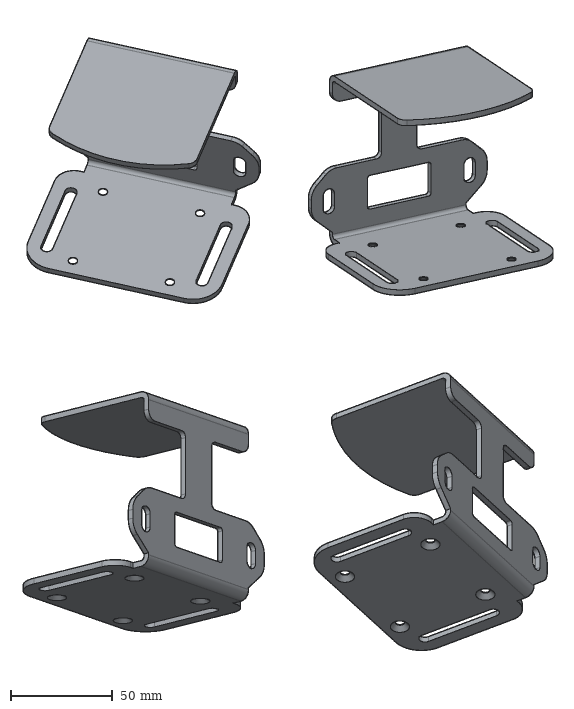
import cadquery as cq
import math

thickness = 3.0
bend_outer = 5.0
bend_inner = bend_outer - thickness
total_width = 100.0
total_height = 90.0
bend_width = 76.0

base_depth = 79.0
base_back = 10.0
base_back_radius = 10.0
base_front_radius = 15.0
slot_spacing = 80.0
base_slot_length = 46.0
base_slot_width = 6.0
base_pattern_y = -45.2
hole_spacing = 50.0
hole_diameter = 4.5
hole_land = 0.5
sink_angle = 90.0

lid_depth = 79.6
lid_side_depth = 70.0
lid_corner_radius = 5.0

stem_width = 20.0
stem_fillet = 3.0
tab_bottom = 75.0
tab_radius = 5.0
ears_top = 40.0
ears_top_width = 78.0
ears_bottom = 6.0
ear_edge_top = 30.0
ear_edge_bottom = 16.5
ear_radius = 10.0
ear_top_radius = 9.0
window_width = 36.0
window_height = 18.0
window_radius = 1.5
window_center = 23.0
wall_slot_length = 13.2
wall_slot_width = 6.4

half_total = total_width / 2
half_bend = bend_width / 2
half_stem = stem_width / 2
half_ears_top = ears_top_width / 2


def fillet_edges(body, axis, places, radius):
    """Round the edges parallel to an axis whose middles lie at (+-x, y, z)."""
    reach = thickness / 4
    for x, y, z in places:
        for side in (-x, x):
            around = cq.selectors.BoxSelector(
                (side - reach, y - reach, z - reach),
                (side + reach, y + reach, z + reach),
            )
            body = body.edges(f"|{axis}").edges(around).fillet(radius)
    return body


def make_bend():
    """Lower bend: a quarter ring from the base up to the wall."""
    middle = math.sqrt(0.5)
    axis_y = -bend_outer
    axis_z = bend_outer
    return (
        cq.Workplane("YZ", origin=(-half_bend, axis_y, axis_z))
        .moveTo(0, -bend_outer)
        .threePointArc((bend_outer * middle, -bend_outer * middle), (bend_outer, 0))
        .lineTo(bend_inner, 0)
        .threePointArc((bend_inner * middle, -bend_inner * middle), (0, -bend_inner))
        .close()
        .extrude(bend_width)
    )


def make_hole_cutter():
    """Through hole with a countersink opening at the underside of the base."""
    hole_radius = hole_diameter / 2
    sink_depth = thickness - hole_land
    sink_radius = hole_radius + sink_depth * math.tan(math.radians(sink_angle / 2))
    drill = cq.Solid.makeCylinder(hole_radius, thickness)
    sink = cq.Solid.makeCone(sink_radius, hole_radius, sink_depth)
    return drill.fuse(sink)


def make_base():
    """Wide plate joined to the bend by a neck, with two long slots and four countersunk holes."""
    plate = (
        cq.Workplane("XY")
        .box(total_width, base_depth - base_back, thickness, centered=(True, False, False))
        .translate((0, -base_depth, 0))
    )
    mid_z = thickness / 2
    plate = fillet_edges(plate, "Z", [(half_total, -base_back, mid_z)], base_back_radius)
    plate = fillet_edges(plate, "Z", [(half_total, -base_depth, mid_z)], base_front_radius)
    neck = (
        cq.Workplane("XY")
        .box(bend_width, base_back - bend_outer, thickness, centered=(True, False, False))
        .translate((0, -base_back, 0))
    )
    pattern = cq.Workplane("XY", origin=(0, base_pattern_y, 0))
    slots = (
        pattern.rarray(slot_spacing, 1, 2, 1)
        .slot2D(base_slot_length, base_slot_width, 90)
        .extrude(thickness)
    )
    holes = pattern.rarray(hole_spacing, hole_spacing, 2, 2).eachpoint(make_hole_cutter())
    return plate.union(neck).cut(slots).cut(holes)


def make_lid():
    """Top plate with a bowed front edge and rounded front corners."""
    underside = total_height - thickness
    lid = (
        cq.Workplane("XY", origin=(0, 0, underside))
        .moveTo(-half_bend, -bend_outer)
        .lineTo(-half_bend, -lid_side_depth)
        .threePointArc((0, -lid_depth), (half_bend, -lid_side_depth))
        .lineTo(half_bend, -bend_outer)
        .close()
        .extrude(thickness)
    )
    corners = [(half_bend, -lid_side_depth, underside + thickness / 2)]
    return fillet_edges(lid, "Z", corners, lid_corner_radius)


def make_wall():
    """Upright sheet: a top tab, a narrow stem and wide ears, with a window and two slots."""
    right_half = [
        (half_bend, bend_outer),
        (half_bend, ears_bottom),
        (half_total, ear_edge_bottom),
        (half_total, ear_edge_top),
        (half_ears_top, ears_top),
        (half_stem, ears_top),
        (half_stem, tab_bottom),
        (half_bend, tab_bottom),
        (half_bend, total_height - bend_outer),
    ]
    left_half = [(-x, z) for x, z in reversed(right_half)]
    wall = cq.Workplane("XZ").polyline(right_half + left_half).close().extrude(thickness)

    mid_y = -thickness / 2
    ear_corners = [
        (half_total, mid_y, ear_edge_bottom),
        (half_total, mid_y, ear_edge_top),
    ]
    stem_corners = [(half_stem, mid_y, ears_top), (half_stem, mid_y, tab_bottom)]
    wall = fillet_edges(wall, "Y", ear_corners, ear_radius)
    wall = fillet_edges(wall, "Y", [(half_ears_top, mid_y, ears_top)], ear_top_radius)
    wall = fillet_edges(wall, "Y", stem_corners, stem_fillet)
    wall = fillet_edges(wall, "Y", [(half_bend, mid_y, tab_bottom)], tab_radius)

    openings = cq.Workplane("XZ", origin=(0, 0, window_center))
    window = openings.rect(window_width, window_height).extrude(thickness).edges("|Y").fillet(window_radius)
    slots = (
        openings.rarray(slot_spacing, 1, 2, 1)
        .slot2D(wall_slot_length, wall_slot_width, 90)
        .extrude(thickness)
    )
    return wall.cut(window).cut(slots)


lower_bend = make_bend()
upper_bend = lower_bend.mirror("XY", (0, 0, total_height / 2))
result = make_base().union(lower_bend).union(make_wall()).union(upper_bend).union(make_lid())